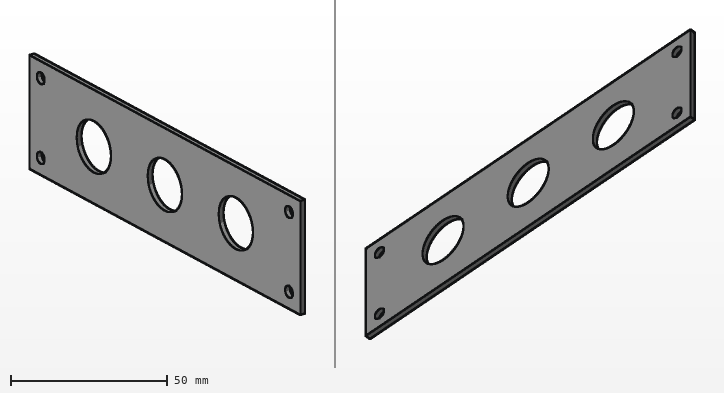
import cadquery as cq

plate_length = 143.0
plate_thickness = 2.0
plate_height = 40.0

opening_diameter = 18.0
opening_pitch = 37.5
opening_count = 3

mount_diameter = 4.0
mount_spacing_x = 131.0
mount_spacing_z = 28.0

plate = cq.Workplane("XZ").box(plate_length, plate_height, plate_thickness)

with_openings = (
    plate.faces("<Y").workplane(origin=(0, 0, 0))
    .rarray(opening_pitch, 1.5, opening_count, 1)
    .hole(opening_diameter)
)

result = (
    with_openings.faces("<Y").workplane(origin=(0, 0, 0))
    .rarray(mount_spacing_x, mount_spacing_z, 2, 2)
    .hole(mount_diameter)
)